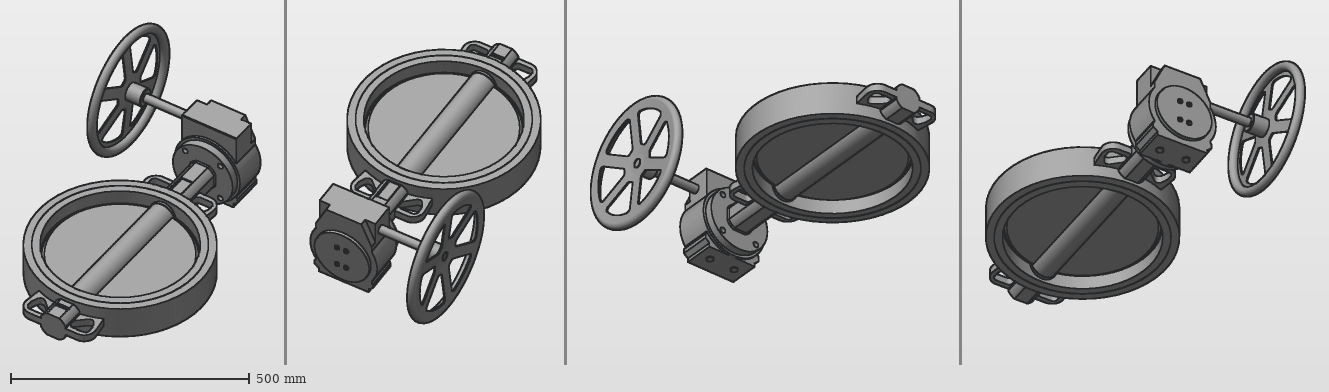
import cadquery as cq
import math


OVERALL_LENGTH = 440.0
BODY_RADIUS = 203.3
BODY_HEIGHT = 78.0
LINER_RADIUS = 185.5
LINER_LIP = 1.0
BORE_RADIUS = 168.0
SEAT_RADIUS = 165.0
DISC_FACE_RADIUS = 159.0
DISC_HALF_THICKNESS = 12.0
DISC_RIM_HALF_THICKNESS = 6.0
STEM_RADIUS = 30.8
STEM_COLLAR_RADIUS = 32.0
STEM_COLLAR_LENGTH = 7.0

NECK_WIDTH = 61.5
NECK_HEIGHT = 60.0
NECK_CORNER_RADIUS = 33.7
NECK_END = 256.5
NECK_FLARE = 2.0
NECK_FLARE_LENGTH = 4.0
NECK_FLAT_WIDTH = 2 * math.sqrt(NECK_CORNER_RADIUS**2 - (NECK_HEIGHT / 2) ** 2)
REAR_RECESS_WIDTH = 29.0
REAR_RECESS_FLOOR_WIDTH = 25.0
REAR_RECESS_DEPTH = 3.0
FRONT_GROOVE_DEPTH = 6.0
FRONT_GROOVE_OFFSET = 14.0
FRONT_GROOVE_LENGTH = 8.0

LUG_THICKNESS = 18.0
LUG_HALF_WIDTH = 91.0
LUG_ROOT_HALF_WIDTH = 80.5
LUG_ROOT_Y = 180.0
LUG_CORNER_RADIUS = 27.0
LUG_WINDOW = [(31.5, 244.8), (77.0, 244.8), (76.0, 222.0), (64.5, 196.0), (31.5, 226.0)]
LUG_WINDOW_RADIUS = 10.0

FLANGE_RADIUS = 75.0
FLANGE_FRONT = 316.5
HOUSING_FRONT = 335.0
HOUSING_BACK = 414.5
HOUSING_RADIUS = 81.5
FLANGE_HOLE_X = 44.0
FLANGE_HOLE_Z = 45.0
FLANGE_HOLE_DIAMETER = 13.0
BOX_SETBACK = 6.0
BOX_HALF_WIDTH = 68.0
BOX_TOP = 115.0
BOX_BOTTOM = -48.0
BOX_CHAMFER = 1.5
NOTCH_WIDTH = 25.0
NOTCH_LENGTH = 16.0
NOTCH_DROP = 55.0
FOOT_BOTTOM = -81.0
FOOT_HALF_WIDTH = 60.5
SHOULDER_HALF_WIDTH = 71.0
SHOULDER_TOP = -53.0
SHOULDER_BOTTOM = -63.0
SHOULDER_STEP = -72.0
PAD_X = 32.0
PAD_Y = 375.0
PAD_RADIUS = 8.0
PAD_HEIGHT = 2.5
COVER_RADIUS = 66.5
COVER_THICKNESS = 8.0
COVER_SCREW_X = 11.0
COVER_SCREW_Z = 25.0
COVER_SCREW_RADIUS = 5.5
COVER_SCREW_HEIGHT = 4.5

WHEEL_Y = 377.5
WHEEL_Z = 81.0
WHEEL_FRONT = BODY_RADIUS - OVERALL_LENGTH
WHEEL_RADIUS = 150.0
RIM_RADIUS = 10.5
RIM_CENTRE = WHEEL_RADIUS - RIM_RADIUS
WEB_THICKNESS = 3.0
WEB_DISH = 13.0
HUB_FACE_RADIUS = 22.5
HUB_RADIUS = 20.7
HUB_BACK = -183.0
HUB_CHAMFER = 1.5
SHAFT_RADIUS = 10.0
SHAFT_END_PROJECTION = 1.5
SPOKE_COUNT = 6
SPOKE_WIDTH = 27.5
WINDOW_OUTER_RADIUS = 120.0
WINDOW_INNER_RADIUS = 43.0
WINDOW_CORNER_RADIUS = 8.0


def box(x, y, z):
    """Box from (low, high) pairs along X, Y and Z."""
    size = (x[1] - x[0], y[1] - y[0], z[1] - z[0])
    return cq.Workplane("XY").box(*size, centered=False).translate((x[0], y[0], z[0]))


def rod_y(radius, start, end, x=0.0, z=0.0):
    """Cylinder along +Y."""
    return cq.Workplane("XZ", origin=(x, start, z)).circle(radius).extrude(start - end)


def rod_x(radius, start, end):
    """Cylinder along +X on the handwheel axis."""
    return cq.Workplane("YZ", origin=(start, WHEEL_Y, WHEEL_Z)).circle(radius).extrude(end - start)


def rod_z(radius, half_height):
    """Cylinder along Z, centred on the origin."""
    return cq.Workplane("XY").circle(radius).extrude(half_height, both=True)


def mirrored_pair(shape, plane):
    return shape.union(shape.mirror(plane))


def make_neck():
    """Neck through the body, flared at the flange, recessed on top at both lugs."""
    front_plane = cq.Workplane("XZ", origin=(0, FLANGE_FRONT, 0))
    length = FLANGE_FRONT + NECK_END
    block = front_plane.rect(NECK_WIDTH, NECK_HEIGHT).extrude(length)
    neck = block.intersect(front_plane.circle(NECK_CORNER_RADIUS).extrude(length))
    flare_angle = math.degrees(math.atan2(NECK_FLARE, NECK_FLARE_LENGTH))
    flare_width = NECK_WIDTH + 2 * NECK_FLARE
    flare_height = NECK_HEIGHT + 2 * NECK_FLARE
    flare_block = front_plane.rect(flare_width, flare_height)
    flare_block = flare_block.extrude(NECK_FLARE_LENGTH, taper=flare_angle)
    flare_round = front_plane.circle(NECK_CORNER_RADIUS + NECK_FLARE)
    collar = flare_block.intersect(flare_round.extrude(NECK_FLARE_LENGTH, taper=flare_angle))
    top = NECK_HEIGHT / 2
    rear_half = REAR_RECESS_WIDTH / 2
    floor_half = REAR_RECESS_FLOOR_WIDTH / 2
    floor = top - REAR_RECESS_DEPTH
    recess_section = [(-rear_half, top), (-floor_half, floor), (floor_half, floor), (rear_half, top)]
    recess_plane = cq.Workplane("XZ", origin=(0, NECK_END, 0))
    rear_recess = recess_plane.polyline(recess_section).close().extrude(NECK_END - BODY_RADIUS)
    groove_half = NECK_FLAT_WIDTH / 2
    groove_back = -BODY_RADIUS - FRONT_GROOVE_OFFSET
    groove = box(
        (-groove_half, groove_half),
        (groove_back - FRONT_GROOVE_LENGTH, groove_back),
        (top - FRONT_GROOVE_DEPTH, top),
    )
    return neck.union(collar).cut(rear_recess).cut(groove)


def make_lugs():
    """Two plates, each with a pair of rounded triangular windows."""
    outline = [
        (-LUG_ROOT_HALF_WIDTH, LUG_ROOT_Y),
        (-LUG_HALF_WIDTH, NECK_END),
        (LUG_HALF_WIDTH, NECK_END),
        (LUG_ROOT_HALF_WIDTH, LUG_ROOT_Y),
    ]
    half = LUG_THICKNESS / 2
    plate = cq.Workplane("XY").polyline(outline).close().extrude(half, both=True)
    plate = plate.edges("|Z and >Y").fillet(LUG_CORNER_RADIUS)
    window = cq.Workplane("XY").polyline(LUG_WINDOW).close().extrude(half, both=True)
    window = window.edges("|Z").fillet(LUG_WINDOW_RADIUS)
    return mirrored_pair(plate.cut(mirrored_pair(window, "YZ")), "XZ")


def make_disc():
    """Disc with bevelled edges, its stem barrel and the collars at the stem ends."""
    profile = [
        (0, -DISC_HALF_THICKNESS),
        (DISC_FACE_RADIUS, -DISC_HALF_THICKNESS),
        (SEAT_RADIUS, -DISC_RIM_HALF_THICKNESS),
        (BORE_RADIUS, -DISC_RIM_HALF_THICKNESS),
        (BORE_RADIUS, DISC_RIM_HALF_THICKNESS),
        (SEAT_RADIUS, DISC_RIM_HALF_THICKNESS),
        (DISC_FACE_RADIUS, DISC_HALF_THICKNESS),
        (0, DISC_HALF_THICKNESS),
    ]
    disc = cq.Workplane("XZ").polyline(profile).close().revolve(360, (0, 0), (0, 1))
    stem = rod_y(STEM_RADIUS, -BORE_RADIUS, BORE_RADIUS)
    collar = rod_y(STEM_COLLAR_RADIUS, BORE_RADIUS - STEM_COLLAR_LENGTH, BORE_RADIUS)
    return disc.union(stem).union(mirrored_pair(collar, "XZ"))


def make_valve():
    half_height = BODY_HEIGHT / 2
    body = rod_z(BODY_RADIUS, half_height).union(make_neck()).union(make_lugs())
    body = body.union(rod_z(LINER_RADIUS, half_height + LINER_LIP))
    body = body.cut(rod_z(BORE_RADIUS, half_height + LINER_LIP))
    return body.union(make_disc())


def make_box_housing():
    """Upper worm box and stepped foot, extruded along Y."""
    front = HOUSING_FRONT + BOX_SETBACK
    right_side = [
        (BOX_HALF_WIDTH, BOX_TOP),
        (BOX_HALF_WIDTH, BOX_BOTTOM),
        (SHOULDER_HALF_WIDTH, SHOULDER_TOP),
        (SHOULDER_HALF_WIDTH, SHOULDER_BOTTOM),
        (FOOT_HALF_WIDTH, SHOULDER_STEP),
        (FOOT_HALF_WIDTH, FOOT_BOTTOM),
    ]
    left_side = [(-x, z) for x, z in reversed(right_side)]
    section = cq.Workplane("XZ", origin=(0, front, 0)).polyline(right_side + left_side).close()
    housing = section.extrude(front - HOUSING_BACK)
    bevel = [
        (front, BOX_TOP - BOX_CHAMFER),
        (front, BOX_TOP),
        (front + BOX_CHAMFER, BOX_TOP),
    ]
    bevel_cut = cq.Workplane("YZ").polyline(bevel).close().extrude(BOX_HALF_WIDTH, both=True)
    notch = [
        (BOX_HALF_WIDTH - NOTCH_WIDTH, BOX_TOP),
        (BOX_HALF_WIDTH, BOX_TOP),
        (BOX_HALF_WIDTH, BOX_TOP - NOTCH_DROP),
    ]
    notch_cut = cq.Workplane("XZ", origin=(0, HOUSING_BACK, 0)).polyline(notch).close().extrude(NOTCH_LENGTH)
    return housing.cut(bevel_cut).cut(mirrored_pair(notch_cut, "YZ"))


def make_gearbox():
    gearbox = make_box_housing().union(rod_y(HOUSING_RADIUS, HOUSING_FRONT, HOUSING_BACK))
    gearbox = gearbox.union(rod_y(FLANGE_RADIUS, FLANGE_FRONT, HOUSING_FRONT))
    cover_back = HOUSING_BACK + COVER_THICKNESS
    gearbox = gearbox.union(rod_y(COVER_RADIUS, HOUSING_BACK, cover_back))
    for side in (-1, 1):
        pad_plane = cq.Workplane("XY", origin=(side * PAD_X, PAD_Y, FOOT_BOTTOM))
        gearbox = gearbox.union(pad_plane.circle(PAD_RADIUS).extrude(-PAD_HEIGHT))
        for level in (-1, 1):
            hole = rod_y(
                FLANGE_HOLE_DIAMETER / 2,
                FLANGE_FRONT,
                HOUSING_FRONT,
                side * FLANGE_HOLE_X,
                level * FLANGE_HOLE_Z,
            )
            screw = rod_y(
                COVER_SCREW_RADIUS,
                cover_back,
                cover_back + COVER_SCREW_HEIGHT,
                side * COVER_SCREW_X,
                level * COVER_SCREW_Z,
            )
            screw = screw.faces(">Y").chamfer(COVER_SCREW_RADIUS / 2)
            gearbox = gearbox.cut(hole).union(screw)
    return gearbox


def make_wheel_window():
    """Cutter between two spokes, drawn around the wheel axis and extruded along X."""
    half_spoke = SPOKE_WIDTH / 2
    half_pitch = math.pi / SPOKE_COUNT

    def corner(radius):
        angle = half_pitch - math.asin(half_spoke / radius)
        return radius * math.cos(angle), radius * math.sin(angle)

    inner_x, inner_y = corner(WINDOW_INNER_RADIUS)
    outer_x, outer_y = corner(WINDOW_OUTER_RADIUS)
    window = (
        cq.Workplane("YZ")
        .moveTo(inner_x, -inner_y)
        .lineTo(outer_x, -outer_y)
        .threePointArc((WINDOW_OUTER_RADIUS, 0), (outer_x, outer_y))
        .lineTo(inner_x, inner_y)
        .close()
        .extrude(2 * RIM_RADIUS)
    )
    return window.edges("|X").fillet(WINDOW_CORNER_RADIUS)


def make_handwheel():
    """Dished web with spokes inside a round rim, on a hub and the input shaft."""
    rim_x = WHEEL_FRONT + RIM_RADIUS
    hub_face = WHEEL_FRONT + WEB_DISH
    web_profile = [
        (hub_face, 0),
        (hub_face, HUB_FACE_RADIUS),
        (WHEEL_FRONT, RIM_CENTRE),
        (WHEEL_FRONT + WEB_THICKNESS, RIM_CENTRE),
        (hub_face + WEB_THICKNESS, HUB_FACE_RADIUS),
        (hub_face + WEB_THICKNESS, 0),
    ]
    web = cq.Workplane("XY").polyline(web_profile).close().revolve(360, (0, 0), (1, 0))
    rim = cq.Workplane("XY").center(rim_x, RIM_CENTRE).circle(RIM_RADIUS)
    rim = rim.revolve(360, (0, -RIM_CENTRE), (1, -RIM_CENTRE))
    wheel = web.union(rim)
    window = make_wheel_window().translate((WHEEL_FRONT, 0, 0))
    pitch = 360 / SPOKE_COUNT
    for index in range(SPOKE_COUNT):
        wheel = wheel.cut(window.rotate((0, 0, 0), (1, 0, 0), index * pitch))
    wheel = wheel.translate((0, WHEEL_Y, WHEEL_Z))
    hub = rod_x(HUB_RADIUS, hub_face, HUB_BACK).faces(">X").chamfer(HUB_CHAMFER)
    wheel = wheel.union(hub)
    return wheel.union(rod_x(SHAFT_RADIUS, hub_face - SHAFT_END_PROJECTION, -BOX_HALF_WIDTH))


result = make_valve().union(make_gearbox()).union(make_handwheel())